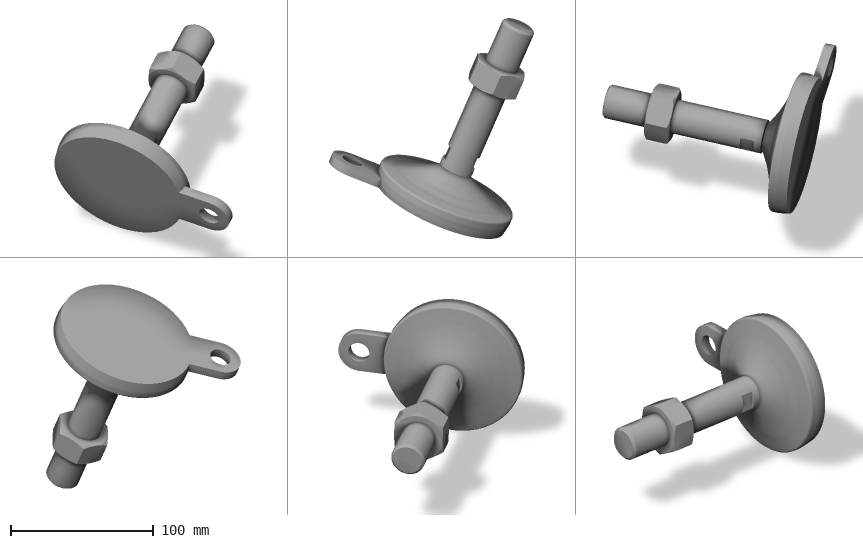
import cadquery as cq
import math

overall_height = 144.0

foot_radius = 50.0
sole_radius = 48.7
taper_height = 7.8
rim_height = 13.5
rim_fillet = 1.7
flare_radius = 26.6
flare_height = 19.5
crown_radius = 11.7
crown_edge_height = 27.4
crown_top_height = 28.2
crown_top_radius = 10.5

lug_radius = 15.0
lug_hole_diameter = 15.0
lug_center_x = 69.1
lug_thickness = 6.9

stem_radius = 24.0 / 2
stem_bottom = 29.1
stem_chamfer = 1.7
neck_radius = 10.0 / 2
neck_overlap = 1.5
flat_bottom = 34.1
flat_top = 44.0
flat_spacing = 19.9

nut_bottom = 94.2
nut_thickness = 17.9
nut_across_flats = 35.0
nut_across_corners = nut_across_flats / math.cos(math.pi / 6)
nut_chamfer_angle = math.radians(30)


def plane_at(height):
    """Plane normal to the stem, with local x along X and local y along Z."""
    return cq.Workplane(cq.Plane(origin=(0, height, 0), xDir=(1, 0, 0), normal=(0, 1, 0)))


def revolve_about_stem(profile):
    return profile.close().revolve(360, (0, 0, 0), (0, 1, 0))


def make_foot():
    profile = (
        cq.Workplane("XY")
        .lineTo(sole_radius, 0)
        .lineTo(foot_radius, taper_height)
        .lineTo(foot_radius, rim_height)
        .threePointArc((flare_radius, flare_height), (crown_radius, crown_edge_height))
        .lineTo(crown_top_radius, crown_top_height)
        .lineTo(0, crown_top_height)
    )
    foot = revolve_about_stem(profile)
    rim_center = (0, rim_height, 0)
    return foot.edges(cq.NearestToPointSelector(rim_center)).fillet(rim_fillet)


def make_lug():
    arm = plane_at(0).center(lug_center_x / 2, 0).rect(lug_center_x, 2 * lug_radius).extrude(lug_thickness)
    end = plane_at(0).center(lug_center_x, 0).circle(lug_radius).extrude(lug_thickness)
    hole = plane_at(0).center(lug_center_x, 0).circle(lug_hole_diameter / 2).extrude(lug_thickness)
    return arm.union(end).cut(hole)


def make_stem():
    shaft = plane_at(stem_bottom).circle(stem_radius).extrude(overall_height - stem_bottom)
    shaft = shaft.faces(">Y").chamfer(stem_chamfer)

    flat_height = flat_top - flat_bottom
    ring = plane_at(flat_bottom).circle(2 * stem_radius).extrude(flat_height)
    core = plane_at(flat_bottom).rect(flat_spacing, 4 * stem_radius).extrude(flat_height)
    shaft = shaft.cut(ring.cut(core))

    neck_start = crown_top_height - neck_overlap
    neck_length = stem_bottom + neck_overlap - neck_start
    neck = plane_at(neck_start).circle(neck_radius).extrude(neck_length)
    return shaft.union(neck)


def make_nut():
    hexagon = (
        plane_at(nut_bottom)
        .transformed(rotate=(0, 0, 90))
        .polygon(6, nut_across_corners)
        .extrude(nut_thickness)
    )
    face_radius = nut_across_flats / 2
    corner_radius = nut_across_corners / 2
    corner_drop = (corner_radius - face_radius) * math.tan(nut_chamfer_angle)
    nut_top = nut_bottom + nut_thickness
    envelope = (
        cq.Workplane("XY")
        .moveTo(0, nut_bottom)
        .lineTo(face_radius, nut_bottom)
        .lineTo(corner_radius, nut_bottom + corner_drop)
        .lineTo(corner_radius, nut_top - corner_drop)
        .lineTo(face_radius, nut_top)
        .lineTo(0, nut_top)
    )
    return hexagon.intersect(revolve_about_stem(envelope))


result = make_foot().union(make_lug()).union(make_stem()).union(make_nut())